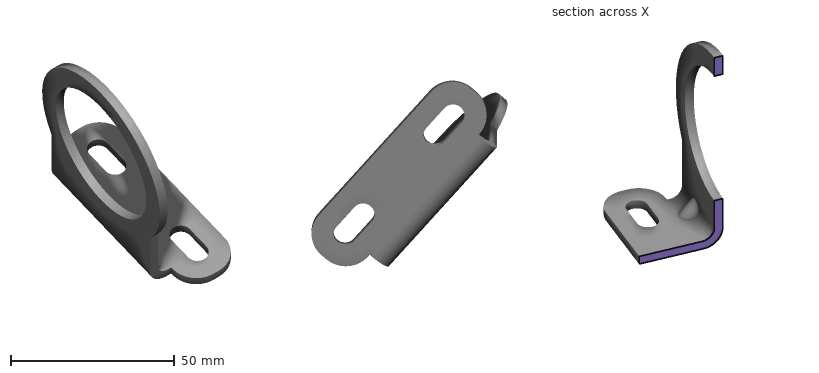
import cadquery as cq
import math

thickness = 3.0
bend_outer_radius = 6.5
bend_inner_radius = 4.0
neck_width = 50.4

ring_outer_diameter = 60.0
ring_hole_diameter = 46.0
ring_center_height = 40.0

foot_length = 70.0
foot_width = 20.0
foot_corner_radius = 9.0
overall_depth = 28.0
foot_center_y = overall_depth - foot_width / 2

slot_length = 15.4
slot_width = 7.0
slot_spacing = 42.0

bead_diameter = 8.0
bead_spacing = 30.0
bead_leg = 5.3


def make_neck():
    """L-shaped strip that joins the foot to the ring around the bend."""
    profile = (
        cq.Workplane("YZ")
        .moveTo(foot_center_y, 0)
        .lineTo(bend_outer_radius, 0)
        .radiusArc((0, bend_outer_radius), bend_outer_radius)
        .lineTo(0, ring_center_height)
        .lineTo(thickness, ring_center_height)
        .lineTo(thickness, thickness + bend_inner_radius)
        .radiusArc((thickness + bend_inner_radius, thickness), -bend_inner_radius)
        .lineTo(foot_center_y, thickness)
        .close()
    )
    return profile.extrude(neck_width / 2, both=True)


def make_upright_disc(diameter):
    """Disc of sheet thickness, centered on the ring axis."""
    return (
        cq.Workplane("XZ")
        .center(0, ring_center_height)
        .circle(diameter / 2)
        .extrude(-thickness)
    )


def make_foot():
    return (
        cq.Workplane("XY")
        .center(0, foot_center_y)
        .rect(foot_length, foot_width)
        .extrude(thickness)
        .edges("|Z")
        .fillet(foot_corner_radius)
    )


def make_slots():
    return (
        cq.Workplane("XY")
        .center(0, foot_center_y)
        .pushPoints([(-slot_spacing / 2, 0), (slot_spacing / 2, 0)])
        .slot2D(slot_length, slot_width)
        .extrude(thickness)
    )


def make_bead(center_x):
    """45 degree cylinder, trimmed to the corner between the two inner faces."""
    radius = bead_diameter / 2
    axis_leg = bead_leg - radius * math.sqrt(2)
    axis_middle = cq.Vector(center_x, thickness + axis_leg / 2, thickness + axis_leg / 2)
    axis_direction = cq.Vector(0, -1, 1).normalized()
    half_length = 2 * bead_leg
    axis_start = axis_middle - axis_direction * half_length
    cylinder = cq.Solid.makeCylinder(radius, 2 * half_length, axis_start, axis_direction)
    corner_space = (
        cq.Workplane("XY")
        .box(bead_diameter, bead_leg, bead_leg, centered=(True, False, False))
        .translate((center_x, thickness, thickness))
    )
    return corner_space.intersect(cq.Workplane(obj=cylinder))


bracket = make_neck().union(make_upright_disc(ring_outer_diameter)).union(make_foot())
bracket = bracket.cut(make_upright_disc(ring_hole_diameter)).cut(make_slots())
for side in (-1, 1):
    bracket = bracket.union(make_bead(side * bead_spacing / 2))

result = bracket